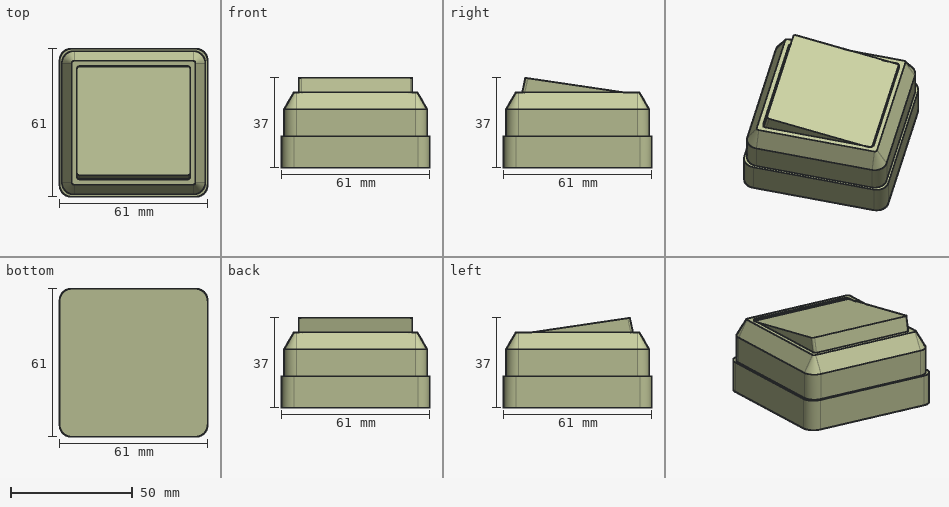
import cadquery as cq
import math

base_width = 61.0
base_height = 13.0
corner_radius = 5.0

housing_width = 59.0
wall_height = 11.0
bevel_height = 7.0
bevel_angle = 30.0
bevel_inset = bevel_height * math.tan(math.radians(bevel_angle))
rim_z = base_height + wall_height + bevel_height

recess_width = 46.8
recess_depth = 1.0
recess_radius = 1.5
floor_z = rim_z - recess_depth

total_height = 37.0
rocker_width = recess_width
rocker_radius = 1.0
rocker_back_y = 22.95
rocker_front_y = -21.55
rocker_slope = 8.4
front_lean = 12.0
rocker_back_z = total_height - (rocker_back_y - rocker_front_y) * math.tan(math.radians(rocker_slope))
rocker_foot_y = rocker_front_y - (total_height - floor_z) * math.tan(math.radians(front_lean))


def rounded_block(width, height, radius, bottom_z):
    """Square block with rounded vertical corners, centred on the Z axis."""
    block = cq.Workplane("XY").box(width, width, height, centered=(True, True, False))
    return block.edges("|Z").fillet(radius).translate((0, 0, bottom_z))


def make_housing():
    block = rounded_block(housing_width, wall_height + bevel_height, corner_radius, base_height)
    return block.faces(">Z").chamfer(bevel_height, bevel_inset)


def make_rocker():
    profile = [
        (rocker_foot_y, floor_z),
        (rocker_front_y, total_height),
        (rocker_back_y, rocker_back_z),
        (rocker_back_y, floor_z),
    ]
    wedge = cq.Workplane("YZ").polyline(profile).close().extrude(rocker_width / 2, both=True)
    front_corners = wedge.faces("<Y").edges("not(|X)")
    return front_corners.fillet(rocker_radius)


base = rounded_block(base_width, base_height, corner_radius, 0)
recess = rounded_block(recess_width, recess_depth, recess_radius, floor_z)
result = base.union(make_housing()).cut(recess).union(make_rocker())